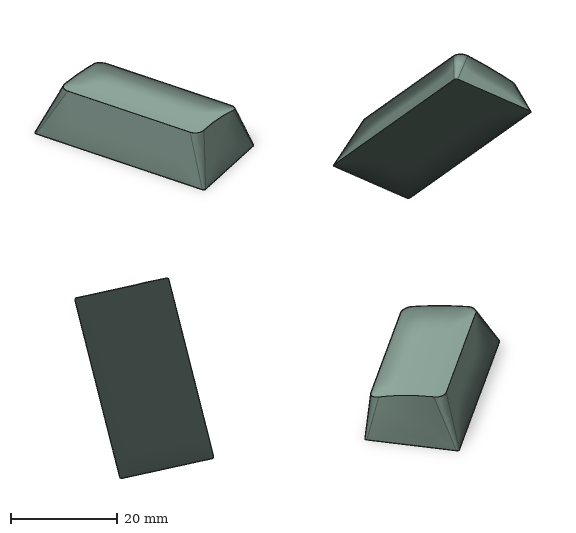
import cadquery as cq
import math

BASE_LENGTH = 37.5
BASE_WIDTH = 18.2
BASE_CORNER = 0.45

END_INSET = 3.55
FRONT_INSET = 3.75
BACK_INSET = 0.15
TOP_CORNER = 2.0
TOP_TILT = 8.2

CROWN_HEIGHT = 8.78
CROWN_RADIUS = 52.88

top_length = BASE_LENGTH - 2 * END_INSET
top_run = BASE_WIDTH - FRONT_INSET - BACK_INSET
top_width = top_run / math.cos(math.radians(TOP_TILT))
top_centre_y = (FRONT_INSET - BACK_INSET) / 2


def rounded_rectangle(length, width, corner):
    return cq.Sketch().rect(length, width).vertices().fillet(corner)


def tapered_body():
    """Straight-sided loft from the base outline to the tilted top outline."""
    base = rounded_rectangle(BASE_LENGTH, BASE_WIDTH, BASE_CORNER)
    top_place = cq.Location(
        cq.Vector(0, top_centre_y, CROWN_HEIGHT), cq.Vector(1, 0, 0), -TOP_TILT
    )
    top = rounded_rectangle(top_length, top_width, TOP_CORNER).moved(top_place)
    return cq.Workplane("XY").placeSketch(base, top).loft(ruled=True)


def crown_cylinder():
    """Large cylinder along X whose wall forms the crowned top."""
    tilt = math.radians(TOP_TILT)
    axis_y = top_centre_y - CROWN_RADIUS * math.sin(tilt)
    axis_z = CROWN_HEIGHT - CROWN_RADIUS * math.cos(tilt)
    return (
        cq.Workplane("YZ")
        .center(axis_y, axis_z)
        .circle(CROWN_RADIUS)
        .extrude(BASE_LENGTH, both=True)
    )


result = tapered_body().intersect(crown_cylinder())